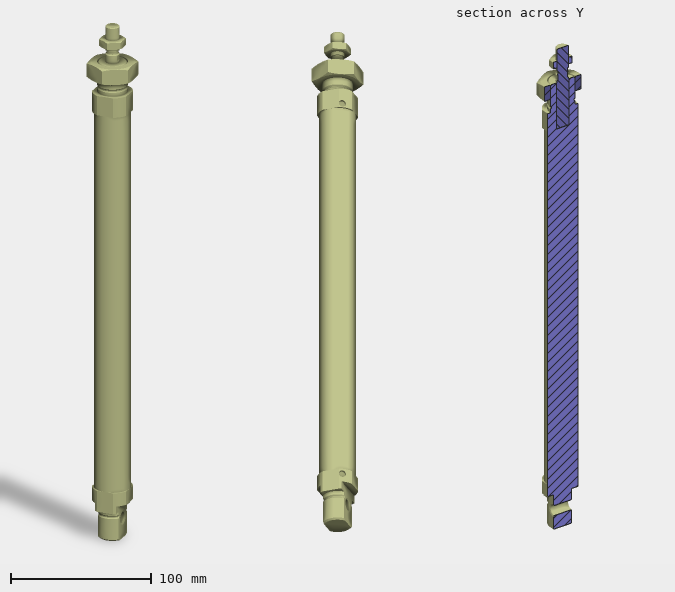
import cadquery as cq
import math

overall_length = 391.5
tongue_shoulder_z = 22.5
rear_step_z = 28.0
rear_cap_top_z = 38.5
front_cap_bottom_z = 326.5
front_cap_top_z = 341.5
mount_nut_bottom_z = 352.0
mount_nut_height = 12.0
mount_thread_top_z = mount_nut_bottom_z + mount_nut_height
rod_nut_bottom_z = 376.0
rod_nut_height = 6.0
rod_thread_bottom_z = 373.0

tube_diameter = 26.5
cap_diameter = 29.5
cap_across_flats = tube_diameter

mount_thread_diameter = 22.0
groove_diameter = 20.5
groove_width = 2.5
groove_taper = (mount_thread_diameter - groove_diameter) / 2
collar_length = 2.7
thread_end_chamfer = 1.0

tongue_thickness = 16.0
eye_diameter = 8.0
eye_rim_diameter = 10.0
eye_rim_depth = 0.5
eye_z = 15.3

screw_hole_diameter = 5.0
screw_hole_depth = 2.0
screw_hole_angle = 125.0
screw_hole_heights = (34.5, 329.5)

rod_bottom_z = front_cap_bottom_z
rod_diameter = 10.0
rod_neck_diameter = 8.5
rod_neck_length = 2.5
rod_neck_taper = (rod_diameter - rod_neck_diameter) / 2
rod_tip_chamfer = 0.6
rod_across_flats = 9.0
rod_flats_bottom_z = 365.5
rod_flats_top_z = rod_thread_bottom_z - rod_neck_length - rod_neck_taper

nut_sides = 6
nut_half_side_angle = 180 / nut_sides
mount_nut_across_flats = 32.0
rod_nut_across_flats = 17.0
nut_face_relief = 0.5
nut_chamfer_angle = 20.0


def cylinder(diameter, bottom_z, top_z):
    return cq.Workplane("XY").workplane(offset=bottom_z).circle(diameter / 2).extrude(top_z - bottom_z)


def revolved(points):
    """Solid of revolution about Z from (radius, height) points."""
    return cq.Workplane("XZ").polyline(points).close().revolve(360, (0, 0), (0, 1))


def end_cap(bottom_z, top_z):
    """Round cap with four flats."""
    height = top_z - bottom_z
    block = (cq.Workplane("XY").workplane(offset=bottom_z)
             .rect(cap_across_flats, cap_across_flats).extrude(height))
    return cylinder(cap_diameter, bottom_z, top_z).intersect(block)


def mount_thread(shoulder_z, end_z):
    """Threaded boss from a cap shoulder to its chamfered end, with a collar and a groove at the shoulder."""
    direction = math.copysign(1, end_z - shoulder_z)
    thread_radius = mount_thread_diameter / 2
    groove_radius = groove_diameter / 2
    groove_start_z = shoulder_z + direction * collar_length
    groove_end_z = groove_start_z + direction * groove_width
    return revolved([
        (0, shoulder_z),
        (thread_radius, shoulder_z),
        (thread_radius, groove_start_z),
        (groove_radius, groove_start_z + direction * groove_taper),
        (groove_radius, groove_end_z - direction * groove_taper),
        (thread_radius, groove_end_z),
        (thread_radius, end_z - direction * thread_end_chamfer),
        (thread_radius - thread_end_chamfer, end_z),
        (0, end_z),
    ])


def tongue_slab(bottom_z, top_z):
    """Space kept between the two tongue faces."""
    height = top_z - bottom_z
    return (cq.Workplane("XY").workplane(offset=bottom_z)
            .rect(tongue_thickness, cap_diameter).extrude(height))


def tongue_eye():
    """Cross hole along X with a countersunk rim on both tongue faces."""
    half = tongue_thickness / 2
    eye_radius = eye_diameter / 2
    rim_radius = eye_rim_diameter / 2
    profile = [
        (-half, 0),
        (-half, rim_radius),
        (-half + eye_rim_depth, eye_radius),
        (half - eye_rim_depth, eye_radius),
        (half, rim_radius),
        (half, 0),
    ]
    eye = cq.Workplane("XZ").polyline(profile).close().revolve(360, (0, 0), (1, 0))
    return eye.translate((0, 0, eye_z))


def screw_hole(height):
    """Blind radial hole in the rounded corner of a cap."""
    angle = math.radians(screw_hole_angle)
    outward = cq.Vector(math.cos(angle), math.sin(angle), 0)
    floor = outward * (cap_diameter / 2 - screw_hole_depth) + cq.Vector(0, 0, height)
    return cq.Solid.makeCylinder(screw_hole_diameter / 2, 2 * screw_hole_depth, floor, outward)


def make_rod():
    thread_radius = rod_diameter / 2
    neck_radius = rod_neck_diameter / 2
    neck_bottom_z = rod_thread_bottom_z - rod_neck_length
    rod = revolved([
        (0, rod_bottom_z),
        (thread_radius, rod_bottom_z),
        (thread_radius, rod_flats_top_z),
        (neck_radius, neck_bottom_z),
        (neck_radius, rod_thread_bottom_z),
        (thread_radius, rod_thread_bottom_z),
        (thread_radius, overall_length - rod_tip_chamfer),
        (thread_radius - rod_tip_chamfer, overall_length),
        (0, overall_length),
    ])
    flats_height = rod_flats_top_z - rod_flats_bottom_z
    band = cylinder(rod_diameter, rod_flats_bottom_z, rod_flats_top_z)
    kept = (cq.Workplane("XY").workplane(offset=rod_flats_bottom_z)
            .rect(rod_across_flats, rod_diameter).extrude(flats_height))
    return rod.cut(band.cut(kept))


def make_housing():
    front = end_cap(front_cap_bottom_z, front_cap_top_z)
    front = front.union(mount_thread(front_cap_top_z, mount_thread_top_z))
    rear = end_cap(tongue_shoulder_z, rear_cap_top_z).union(mount_thread(tongue_shoulder_z, 0))
    rear = rear.intersect(
        tongue_slab(0, rear_step_z).union(cylinder(cap_diameter, rear_step_z, rear_cap_top_z))
    )
    rear = rear.cut(tongue_eye())
    housing = cylinder(tube_diameter, rear_cap_top_z, front_cap_bottom_z).union(front).union(rear)
    for height in screw_hole_heights:
        housing = housing.cut(cq.Workplane(screw_hole(height)))
    return housing.cut(cylinder(rod_diameter, rod_bottom_z, mount_thread_top_z))


def make_nut(across_flats, bore_diameter, bottom_z, height):
    """Hexagon nut with two flats facing +X and -X and its corners chamfered at both faces."""
    corner_diameter = across_flats / math.cos(math.radians(nut_half_side_angle))
    hexagon = (cq.Workplane("XY").workplane(offset=bottom_z)
               .polygon(nut_sides, corner_diameter).extrude(height)
               .rotate((0, 0, 0), (0, 0, 1), nut_half_side_angle))
    clear_radius = corner_diameter / 2 + nut_face_relief
    face_radius = across_flats / 2 - nut_face_relief
    chamfer_height = (clear_radius - face_radius) * math.tan(math.radians(nut_chamfer_angle))
    top_z = bottom_z + height
    envelope = revolved([
        (0, bottom_z),
        (face_radius, bottom_z),
        (clear_radius, bottom_z + chamfer_height),
        (clear_radius, top_z - chamfer_height),
        (face_radius, top_z),
        (0, top_z),
    ])
    return hexagon.intersect(envelope).cut(cylinder(bore_diameter, bottom_z, top_z))


housing = make_housing()
piston_rod = make_rod()
mount_nut = make_nut(mount_nut_across_flats, mount_thread_diameter,
                     mount_nut_bottom_z, mount_nut_height)
rod_nut = make_nut(rod_nut_across_flats, rod_diameter,
                   rod_nut_bottom_z, rod_nut_height)

result = cq.Compound.makeCompound([housing.val(), piston_rod.val(), mount_nut.val(), rod_nut.val()])